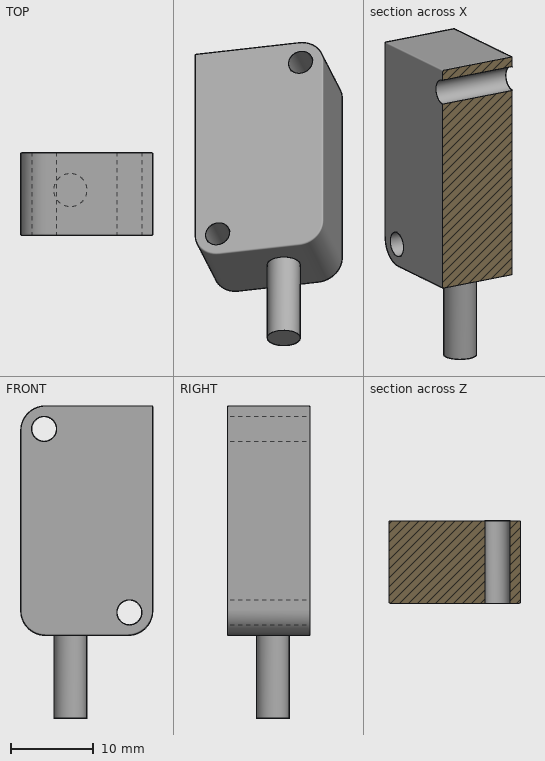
import cadquery as cq

width = 16.0
depth = 10.0
total_height = 37.8
cable_length = 10.0
housing_height = total_height - cable_length
corner_radius = 3.02
edge_radius = 0.2

cable_diameter = 4.0
cable_x = 6.0 - width / 2
cable_y = 0.5

hole_diameter = 3.0
hole_side_inset = 2.85
hole_end_inset = 2.8


def make_housing():
    """Block with three rounded corners and a softened fourth corner and softened front and back rims."""
    block = cq.Workplane("XY").box(width, depth, housing_height, centered=(True, True, False))
    block = block.edges("|Y").edges("<X or <Z").fillet(corner_radius)
    upper_right_edge = cq.selectors.BoxSelector(
        (width / 2 - edge_radius, -depth, housing_height - edge_radius),
        (width / 2 + edge_radius, depth, housing_height + edge_radius),
    )
    rims = block.faces("<Y or >Y").edges()
    return rims.add(block.edges(upper_right_edge)).fillet(edge_radius)


def make_cable():
    """Straight round cable, set slightly behind the middle of the housing depth."""
    return (
        cq.Workplane("XY")
        .center(cable_x, cable_y)
        .circle(cable_diameter / 2)
        .extrude(-cable_length)
    )


def make_mounting_holes():
    """Cutters for the upper left and lower right through holes."""
    hole_x = width / 2 - hole_side_inset
    hole_centres = [
        (-hole_x, housing_height - hole_end_inset),
        (hole_x, hole_end_inset),
    ]
    return (
        cq.Workplane("XZ")
        .pushPoints(hole_centres)
        .circle(hole_diameter / 2)
        .extrude(depth / 2, both=True)
    )


result = make_housing().union(make_cable()).cut(make_mounting_holes())